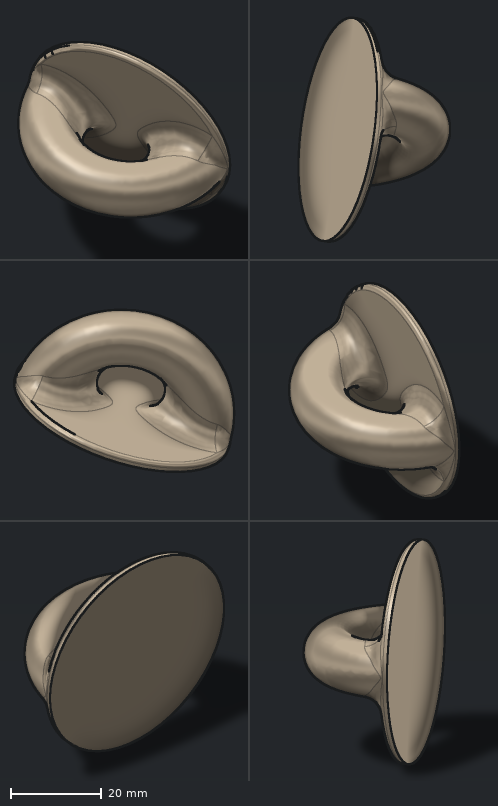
import cadquery as cq

plate_diameter = 50.0
plate_thickness = 2.0
rim_radius = 1.0
bar_diameter = 12.5
foot_blend_radius = 5.0

plate_radius = plate_diameter / 2
bar_radius = bar_diameter / 2
ring_radius = plate_radius - bar_radius

margin = 0.1


def rounded_plate():
    """Round plate with its back on Y = 0 and its front rim rounded."""
    plate = cq.Workplane("XZ").circle(plate_radius).extrude(plate_thickness)
    return plate.faces("<Y").edges().fillet(rim_radius)


def half_ring():
    """Half torus about the Z axis, bulging toward -Y, with both ends on Y = 0."""
    torus = cq.Workplane(cq.Solid.makeTorus(ring_radius, bar_radius))
    front_half = cq.Workplane("XZ").rect(2 * plate_diameter, plate_diameter).extrude(plate_diameter)
    return torus.intersect(front_half)


def blend_feet(body):
    """Fillet the edges where the ring meets the plate front and its rounded rim."""
    foot_edges = cq.selectors.BoxSelector(
        (-plate_radius - margin, -plate_thickness - margin, -bar_radius - margin),
        (plate_radius + margin, rim_radius - plate_thickness + margin, bar_radius + margin),
        boundingbox=True,
    )
    return body.edges(foot_edges).fillet(foot_blend_radius)


result = blend_feet(rounded_plate().union(half_ring()))